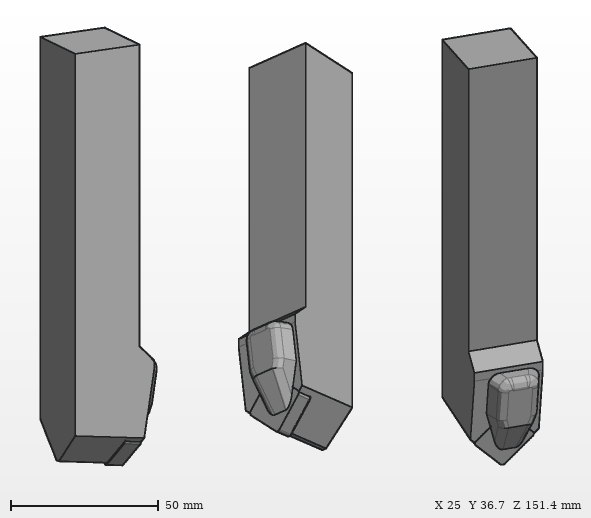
import cadquery as cq
import math

shank_width = 25.0
total_height = 151.4

head_depth = 30.5
step_bottom_z = 39.4
step_rise = head_depth - shank_width
lean_angle = 9.0
tip_y = 24.8

point_flat_width = 1.7
point_height = 0.9

insert_side = 15.9
insert_thickness = 6.4
nose_radius = 1.2

clamp_centre_x = -2.0
clamp_half_width = 9.2
clamp_bottom = 6.4
clamp_shoulder = 22.4
clamp_top = 38.1
clamp_nose_half_width = 3.0
clamp_height = 6.5
clamp_taper = 22.0
clamp_corner_radius = 3.8
clamp_rim_radius = 3.3
clamp_slope_start = 19.7
clamp_nose_overrun = 4.5
clamp_top_overrun = 7.5
clamp_root = 1.5

margin = 60.5

lean = math.radians(lean_angle)


def seat_plane(offset=0.0):
    """Plane parallel to the seat: local x along X, local y up the seat, normal pointing out."""
    normal = cq.Vector(0, math.cos(lean), -math.sin(lean))
    origin = cq.Vector(0, tip_y, 0) + normal * offset
    return cq.Plane(origin=origin.toTuple(), xDir=(-1, 0, 0), normal=normal.toTuple())


def make_insert():
    """Square insert with a corner pointing down and all four corners rounded."""
    half_diagonal = insert_side / math.sqrt(2)
    nose_setback = nose_radius * (math.sqrt(2) - 1)
    return (
        cq.Workplane(seat_plane(-insert_thickness))
        .center(0, half_diagonal - nose_setback)
        .transformed(rotate=(0, 0, 45))
        .rect(insert_side, insert_side)
        .extrude(insert_thickness)
        .edges("<X or >X or <Z or >Z")
        .fillet(nose_radius)
    )


def make_head_and_shank():
    """Side profile of the bar with the thickened head, before the point is cut."""
    face_top_z = (head_depth - tip_y) / math.tan(lean)
    low_z = -shank_width
    profile = [
        (0, low_z),
        (tip_y + low_z * math.tan(lean), low_z),
        (head_depth, face_top_z),
        (head_depth, step_bottom_z),
        (shank_width, step_bottom_z + step_rise),
        (shank_width, total_height),
        (0, total_height),
    ]
    return cq.Workplane("YZ").polyline(profile).close().extrude(shank_width / 2, both=True)


def make_point_cutter():
    """Everything below the 90 degree point, swept square to the seat plane."""
    half_flat = point_flat_width / 2
    outline = [
        (-half_flat, point_height),
        (half_flat, point_height),
        (half_flat + margin, point_height + margin),
        (half_flat + margin, -margin),
        (-half_flat - margin, -margin),
        (-half_flat - margin, point_height + margin),
    ]
    return cq.Workplane(seat_plane()).polyline(outline).close().extrude(margin, both=True)


def make_nose_cutter():
    """Wedge that slopes the outer face of the clamp down to the seat plane at its nose."""
    reach = clamp_slope_start - clamp_bottom
    depth_ratio = clamp_height / reach
    deep_end = clamp_bottom - margin
    side = [
        (clamp_slope_start + reach, 2 * clamp_height),
        (deep_end, -margin * depth_ratio),
        (deep_end, 2 * clamp_height),
    ]
    seat = seat_plane()
    section = cq.Plane(origin=seat.origin.toTuple(), xDir=seat.yDir.toTuple(), normal=seat.xDir.toTuple())
    return cq.Workplane(section).polyline(side).close().extrude(margin, both=True)


def make_top_cutter():
    """Block that squares off the upper end of the clamp."""
    return (
        cq.Workplane(seat_plane())
        .center(0, clamp_top + margin / 2)
        .rect(margin, margin)
        .extrude(margin, both=True)
    )


def make_clamp():
    """Tapered boss with a sloping nose; its root reaches below the seat plane into the head."""
    grow = clamp_root * math.tan(math.radians(clamp_taper))
    wide = clamp_half_width + grow
    nose = clamp_nose_half_width + grow
    outline = [
        (-nose, clamp_bottom - clamp_nose_overrun),
        (nose, clamp_bottom - clamp_nose_overrun),
        (wide, clamp_shoulder),
        (wide, clamp_top + clamp_top_overrun),
        (-wide, clamp_top + clamp_top_overrun),
        (-wide, clamp_shoulder),
    ]
    boss = (
        cq.Workplane(seat_plane(-clamp_root))
        .center(-clamp_centre_x, 0)
        .polyline(outline)
        .close()
        .extrude(clamp_root + clamp_height, taper=clamp_taper)
    )
    squared = boss.cut(make_top_cutter())
    rounded = squared.faces(">Z").edges("not |X").fillet(clamp_corner_radius)
    sloped = rounded.cut(make_nose_cutter())
    return sloped.faces(">Y or <Z").edges("not |X").fillet(clamp_rim_radius)


insert = make_insert()
blank = make_head_and_shank().union(make_clamp())
holder = blank.cut(make_point_cutter()).cut(insert)
result = cq.Compound.makeCompound([holder.val(), insert.val()])